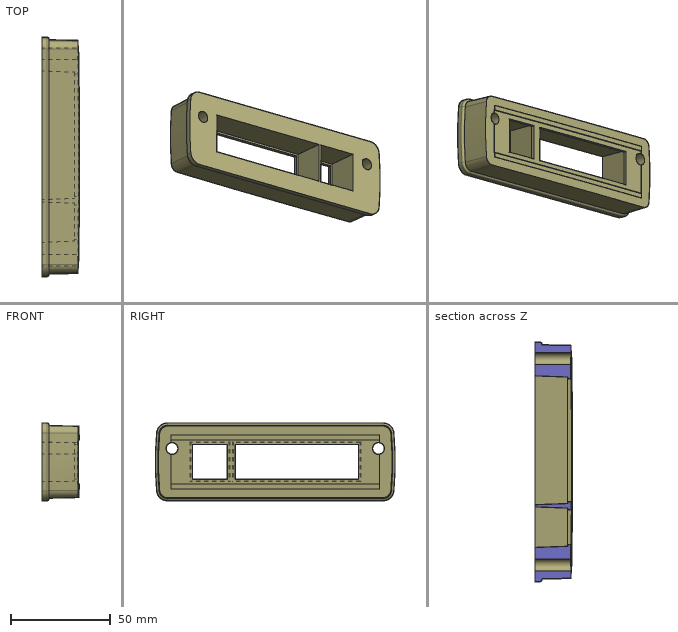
import cadquery as cq
import math

length = 120.0
height = 39.0
depth = 19.0

flange_thickness = 3.6
flange_round = 1.1
corner_radius = 5.5
end_bow_radius = 162.0
body_inset = 1.2
body_draft = 1.3

rib_rise = 0.2
recess_depth = 0.4
face_bow = 0.6
rib_length = 104.2
rib_outer_height = 26.9
rib_inner_height = 22.1
face_apex = depth - rib_rise

window_height = 19.8
window_depth = 16.5
side_taper = 0.6
height_taper = 0.2
opening_height = 17.3
opening_margin = 1.5
long_window_width = 64.3
long_window_center = 10.8
square_window_width = 20.2
square_window_center = -32.6

hole_diameter = 5.8
hole_spacing = 103.2
hole_height = 6.7


def bowed_outline(x, inset):
    """Rounded rectangle with bowed short ends, on the plane at the given x."""
    half_length = length / 2 - inset
    half_height = height / 2 - inset
    bow = end_bow_radius - math.sqrt(end_bow_radius**2 - half_height**2)
    corner_y = half_length - bow
    return (
        cq.Workplane("YZ", origin=(x, 0, 0))
        .moveTo(-corner_y, -half_height)
        .lineTo(corner_y, -half_height)
        .threePointArc((half_length, 0), (corner_y, half_height))
        .lineTo(-corner_y, half_height)
        .threePointArc((-half_length, 0), (-corner_y, -half_height))
        .close()
    )


def bowed_slab(apex, slab_length, slab_height):
    """Block from x = 0 to a face bowed along Y, all faces sharing the same curvature."""
    bow_radius = ((length / 2) ** 2 + face_bow**2) / (2 * face_bow)
    half = slab_length / 2
    edge = apex - (bow_radius - math.sqrt(bow_radius**2 - half**2))
    return (
        cq.Workplane("XY")
        .moveTo(0, -half)
        .lineTo(edge, -half)
        .threePointArc((apex, 0), (edge, half))
        .lineTo(0, half)
        .close()
        .extrude(slab_height / 2, both=True)
    )


def flange():
    """Mounting plate with a rounded edge around the body."""
    plate = bowed_outline(0, 0).extrude(flange_thickness)
    plate = plate.edges("|X").fillet(corner_radius)
    return plate.faces(">X").edges().fillet(flange_round)


def body():
    """Inset block with rounded corners, drafted inward toward the bezel face."""
    prism = bowed_outline(0, body_inset).extrude(depth)
    prism = prism.edges("|X").fillet(corner_radius - body_inset)
    rounded_outline = prism.faces("<X").wires().val()
    return cq.Workplane("YZ").add(rounded_outline).toPending().extrude(depth, taper=body_draft)


def window(center_y, width):
    """Tapered pocket from the flange side, ending in a lip around a through opening."""
    pocket = (
        cq.Workplane("YZ")
        .center(center_y, 0)
        .rect(width, window_height)
        .workplane(offset=window_depth)
        .rect(width - 2 * side_taper, window_height - 2 * height_taper)
        .loft(ruled=True)
    )
    opening = (
        cq.Workplane("YZ")
        .center(center_y, 0)
        .rect(width - 2 * opening_margin, opening_height)
        .extrude(depth)
    )
    return pocket.union(opening)


def screw_holes():
    """Pair of through holes beside the windows."""
    return (
        cq.Workplane("YZ")
        .pushPoints([(side * hole_spacing / 2, hole_height) for side in (-1, 1)])
        .circle(hole_diameter / 2)
        .extrude(depth)
    )


main_block = body().intersect(bowed_slab(face_apex, length, height))
rib_block = bowed_slab(depth, rib_length, rib_outer_height)
above_recess = bowed_slab(depth, rib_length, rib_inner_height).cut(
    bowed_slab(face_apex - recess_depth, length, height)
)

result = flange().union(main_block).union(rib_block).cut(above_recess)
result = result.cut(window(long_window_center, long_window_width))
result = result.cut(window(square_window_center, square_window_width))
result = result.cut(screw_holes())